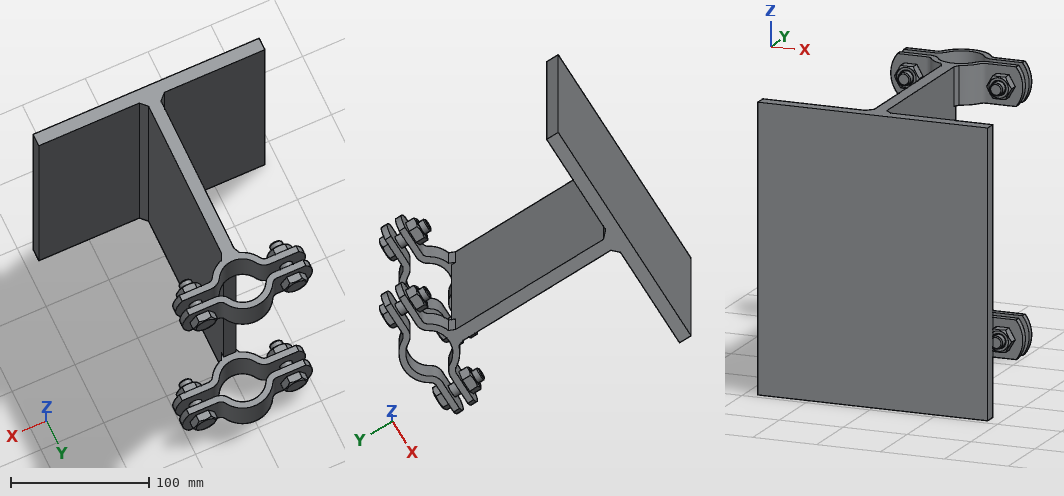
import cadquery as cq
import math

height = 220.0
plate_width = 180.0
plate_thickness = 10.0
web_thickness = 10.0
base_weld_leg = 5.0

total_depth = 189.0
clamp_height = 30.0
strap_thickness = 5.0
strap_gap = 7.0
pipe_radius = 17.0
bend_radius = 5.0
ear_reach = 51.7
ear_corner_reach = 46.5
clamp_weld_half_width = 7.0
clamp_weld_depth = 4.8

bolt_spacing = 72.2
bolt_diameter = 10.0
bolt_tip_diameter = 8.1
bolt_reach = 21.8
hex_across_flats = 17.0
hex_face_diameter = 15.5
hex_chamfer_angle = 30.0
head_height = 6.4
nut_height = 8.0
nut_countersink_diameter = 11.5

ring_radius = pipe_radius + strap_thickness
clamp_y = total_depth - ring_radius
web_end_y = clamp_y - ring_radius
ear_inner = strap_gap / 2
ear_outer = ear_inner + strap_thickness
hex_across_corners = hex_across_flats / math.cos(math.radians(30))


def make_bracket():
    half_web = web_thickness / 2
    half_plate = plate_width / 2
    weld_x = half_web + base_weld_leg
    weld_y = plate_thickness + base_weld_leg
    half_outline = [
        (half_plate, 0),
        (half_plate, plate_thickness),
        (weld_x, plate_thickness),
        (half_web, weld_y),
        (half_web, web_end_y),
    ]
    mirrored = [(-x, y) for x, y in reversed(half_outline)]
    return cq.Workplane("XY").polyline(half_outline + mirrored).close().extrude(height)


def make_strap():
    """Half clamp on the +Y side of the pipe axis, which is the Z axis here."""
    bend_y = ear_outer + bend_radius
    bend_x = math.sqrt((ring_radius + bend_radius) ** 2 - bend_y**2)
    bend_angle = math.atan2(bend_y, bend_x)
    mid_angle = (bend_angle + math.pi + 1.5 * math.pi) / 2

    def on_ring(radius):
        return radius * math.cos(bend_angle), radius * math.sin(bend_angle)

    def on_bend(radius):
        return bend_x + radius * math.cos(mid_angle), bend_y + radius * math.sin(mid_angle)

    def flip(point):
        return -point[0], point[1]

    outer_bend = on_bend(bend_radius)
    inner_bend = on_bend(bend_radius + strap_thickness)
    strap = (
        cq.Workplane("XY")
        .moveTo(ear_reach, ear_inner)
        .lineTo(ear_reach, ear_outer)
        .lineTo(bend_x, ear_outer)
        .threePointArc(outer_bend, on_ring(ring_radius))
        .threePointArc((0, ring_radius), flip(on_ring(ring_radius)))
        .threePointArc(flip(outer_bend), (-bend_x, ear_outer))
        .lineTo(-ear_reach, ear_outer)
        .lineTo(-ear_reach, ear_inner)
        .lineTo(-bend_x, ear_inner)
        .threePointArc(flip(inner_bend), flip(on_ring(pipe_radius)))
        .threePointArc((0, pipe_radius), on_ring(pipe_radius))
        .threePointArc(inner_bend, (bend_x, ear_inner))
        .close()
        .extrude(clamp_height)
    )
    bowed_outline = (
        cq.Workplane("XZ")
        .moveTo(-ear_corner_reach, 0)
        .lineTo(ear_corner_reach, 0)
        .threePointArc((ear_reach, clamp_height / 2), (ear_corner_reach, clamp_height))
        .lineTo(-ear_corner_reach, clamp_height)
        .threePointArc((-ear_reach, clamp_height / 2), (-ear_corner_reach, 0))
        .close()
        .extrude(-total_depth)
    )
    return strap.intersect(bowed_outline)


def make_clamp_weld():
    """Weld between the web end and the ring, over the height of one clamp."""
    top_y = -math.sqrt(ring_radius**2 - clamp_weld_half_width**2)
    bottom_y = top_y - clamp_weld_depth
    half_web = web_thickness / 2
    middle_y = -(pipe_radius + ring_radius) / 2
    return (
        cq.Workplane("XY")
        .moveTo(half_web, bottom_y)
        .lineTo(clamp_weld_half_width, top_y)
        .lineTo(0, middle_y)
        .lineTo(-clamp_weld_half_width, top_y)
        .lineTo(-half_web, bottom_y)
        .close()
        .extrude(clamp_height)
    )


def make_hex(hex_height):
    """Hexagon on the XY plane with the corners of its upper face turned off."""
    chamfer_width = (hex_across_corners - hex_face_diameter) / 2
    chamfer_height = chamfer_width * math.tan(math.radians(hex_chamfer_angle))
    blank = (
        cq.Workplane("XY")
        .circle(hex_across_corners / 2)
        .extrude(hex_height)
        .faces(">Z")
        .chamfer(chamfer_height, chamfer_width)
    )
    return cq.Workplane("XY").polygon(6, hex_across_corners).extrude(hex_height).intersect(blank)


def make_bolt():
    """Bolt and nut along Y, centred between the straps, with the head on the +Y side."""
    countersink_depth = (nut_countersink_diameter - bolt_diameter) / 2
    countersink = (
        cq.Workplane("XY", origin=(0, 0, nut_height))
        .circle(nut_countersink_diameter / 2)
        .extrude(-countersink_depth, taper=45)
    )
    shank = (
        cq.Workplane("XY")
        .circle(bolt_diameter / 2)
        .extrude(bolt_reach + ear_outer)
        .faces(">Z")
        .chamfer((bolt_diameter - bolt_tip_diameter) / 2)
        .translate((0, 0, -ear_outer))
    )
    nut = make_hex(nut_height).cut(countersink).translate((0, 0, ear_outer))
    head = make_hex(head_height).rotate((0, 0, 0), (1, 0, 0), 180).translate((0, 0, -ear_outer))
    return shank.union(nut).union(head).rotate((0, 0, 0), (1, 0, 0), 90)


def make_clamp():
    strap = make_strap()
    clamp = strap.union(strap.mirror("XZ")).union(make_clamp_weld())
    bolt = make_bolt()
    for side in (-1, 1):
        clamp = clamp.union(bolt.translate((side * bolt_spacing / 2, 0, clamp_height / 2)))
    return clamp


result = make_bracket()
clamp = make_clamp()
for clamp_base_z in (0, height - clamp_height):
    result = result.union(clamp.translate((0, clamp_y, clamp_base_z)))